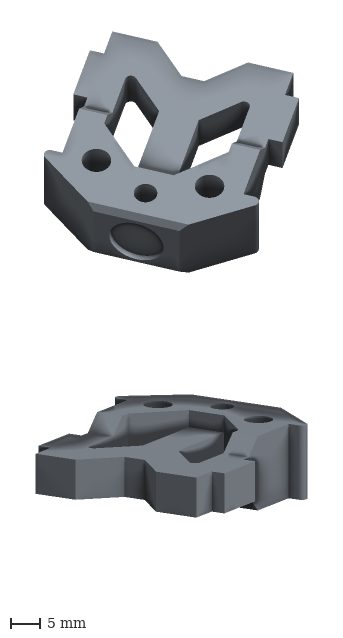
import cadquery as cq
import math

length = 40.0
front_thickness = 13.0
rear_thickness = 7.0

body_half_width = 16.0
ear_half_width = 37.0 / 2
ear_front_y = 25.0
ear_rear_y = 35.0
wing_half_width = 37.9 / 2
wing_rear_y = 10.0
wing_tip_radius = 1.0
nose_half_width = 7.6
front_chamfer = 1.0

notch_half_width = 8.0
notch_depth = 6.0

ramp_height = (front_thickness - rear_thickness) / 2
ramp_front_y = 20.0

spine_half_width = 7.0 / 2
window_half_span = 11.0
spine_front_y = 10.6
spine_rear_y = 25.6
window_corner_radius = 1.0

side_hole_diameter = 5.0
side_hole_x = 10.0
side_hole_y = 10.0
centre_hole_diameter = 4.0
centre_hole_y = 5.5
front_pocket_diameter = 9.6
front_pocket_depth = 1.0


def upright_prism(points, height):
    """Extrude an XY outline symmetrically about Z = 0."""
    return cq.Workplane("XY").polyline(points).close().extrude(height / 2, both=True)


def make_body():
    """Plan outline with ears, wings and rear notch."""
    arc_x = wing_half_width - wing_tip_radius
    arc_y = wing_rear_y - wing_tip_radius
    run = arc_x - nose_half_width
    slant_angle = math.atan2(arc_y, run) - math.asin(wing_tip_radius / math.hypot(run, arc_y))
    tangent_x = arc_x + wing_tip_radius * math.sin(slant_angle)
    tangent_y = arc_y - wing_tip_radius * math.cos(slant_angle)
    right_half = (
        cq.Workplane("XY")
        .moveTo(0, 0)
        .lineTo(nose_half_width, 0)
        .lineTo(tangent_x, tangent_y)
        .threePointArc((wing_half_width, arc_y), (arc_x, wing_rear_y))
        .lineTo(body_half_width, wing_rear_y)
        .lineTo(body_half_width, ear_front_y)
        .lineTo(ear_half_width, ear_front_y)
        .lineTo(ear_half_width, ear_rear_y)
        .lineTo(body_half_width, ear_rear_y)
        .lineTo(body_half_width, length)
        .lineTo(notch_half_width, length)
        .lineTo(notch_half_width - notch_depth, length - notch_depth)
        .lineTo(0, length - notch_depth)
        .close()
        .extrude(front_thickness / 2, both=True)
    )
    return right_half.union(right_half.mirror("YZ"))


def make_side_profile():
    """Side profile: chamfered front, thick block, ramps and thin rear plate."""
    front_z = front_thickness / 2
    rear_z = rear_thickness / 2
    upper = [
        (0, front_z - front_chamfer),
        (front_chamfer, front_z),
        (ramp_front_y, front_z),
        (ramp_front_y + ramp_height, rear_z),
        (length, rear_z),
    ]
    lower = [(y, -z) for y, z in reversed(upper)]
    return cq.Workplane("YZ").polyline(upper + lower).close().extrude(wing_half_width, both=True)


def make_window():
    """Right-hand window, rounded at its sharp rear outer corner."""
    end_rise = window_half_span - spine_half_width
    window = upright_prism(
        [
            (spine_half_width, spine_front_y),
            (window_half_span, spine_front_y + end_rise),
            (window_half_span, spine_rear_y + end_rise),
            (spine_half_width, spine_rear_y),
        ],
        front_thickness,
    )
    return window.edges("|Z").edges(">Y").fillet(window_corner_radius)


def cut_spine(body):
    """Thin the spine to the rear plate thickness, above and below."""
    spine_length = ramp_front_y + ramp_height - spine_front_y
    for side in (1, -1):
        slab = cq.Workplane("XY").box(2 * spine_half_width, spine_length, ramp_height)
        slab_z = side * (rear_thickness + ramp_height) / 2
        body = body.cut(slab.translate((0, spine_front_y + spine_length / 2, slab_z)))
    return body


def vertical_hole(x, y, diameter):
    return cq.Workplane("XY").center(x, y).circle(diameter / 2).extrude(front_thickness / 2, both=True)


result = make_body().intersect(make_side_profile())
result = cut_spine(result)

window = make_window()
result = result.cut(window).cut(window.mirror("YZ"))

for hole_x in (-side_hole_x, side_hole_x):
    result = result.cut(vertical_hole(hole_x, side_hole_y, side_hole_diameter))
result = result.cut(vertical_hole(0, centre_hole_y, centre_hole_diameter))

front_pocket = cq.Workplane("XZ").circle(front_pocket_diameter / 2).extrude(-front_pocket_depth)
result = result.cut(front_pocket)